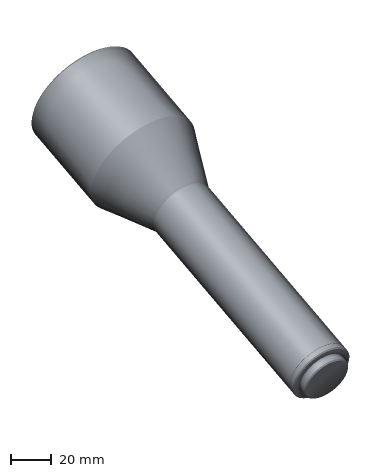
import cadquery as cq

total_length = 209.7
head_length = 51.8
cone_length = 33.0
end_boss_length = 4.5

head_diameter = 62.0
barrel_diameter = 33.8
end_boss_diameter = 26.2

head_chamfer = 1.0
end_chamfer = 0.6
groove_width = 0.6
groove_depth = 0.2
groove_to_barrel_end = 3.0

head_start = -total_length / 2
cone_start = head_start + head_length
barrel_start = cone_start + cone_length
boss_end = total_length / 2
barrel_end = boss_end - end_boss_length
groove_end = barrel_end - groove_to_barrel_end
groove_start = groove_end - groove_width

head_radius = head_diameter / 2
barrel_radius = barrel_diameter / 2
boss_radius = end_boss_diameter / 2
groove_radius = barrel_radius - groove_depth

profile = (
    cq.Workplane("XY")
    .moveTo(head_start, 0)
    .lineTo(head_start, head_radius - head_chamfer)
    .lineTo(head_start + head_chamfer, head_radius)
    .lineTo(cone_start, head_radius)
    .lineTo(barrel_start, barrel_radius)
    .lineTo(groove_start, barrel_radius)
    .lineTo(groove_start, groove_radius)
    .lineTo(groove_end, groove_radius)
    .lineTo(groove_end, barrel_radius)
    .lineTo(barrel_end - end_chamfer, barrel_radius)
    .lineTo(barrel_end, barrel_radius - end_chamfer)
    .lineTo(barrel_end, boss_radius)
    .lineTo(boss_end - end_chamfer, boss_radius)
    .lineTo(boss_end, boss_radius - end_chamfer)
    .lineTo(boss_end, 0)
    .close()
)

result = profile.revolve(360, (0, 0, 0), (1, 0, 0))